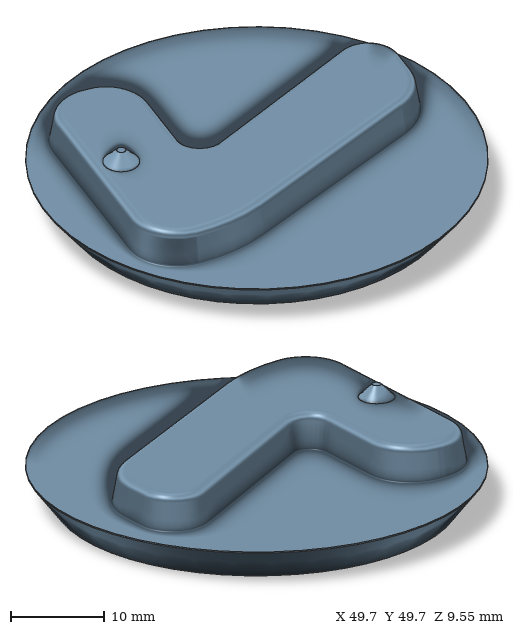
import cadquery as cq
import math

disc_radius = 24.85
disc_bottom_radius = 21.9
disc_height = 4.0
rim_height = 0.15

pad_height = 4.05
pad_draft = 10.0
pad_top_fillet = 1.0
pad_foot_fillet = 0.25
pad_left = -15.15
pad_bottom = -19.7
pad_top = 20.45
pad_right = 15.9
arm_top = -7.9

arm_radius = 5.5
heel_radius = 5.75
flank_radius = 18.9
tip_right_radius = 7.35
tip_left_radius = 4.2
notch_radius = 1.95

tip_right_x = -4.0
tip_left_x = -6.9
notch_x = -1.7

pip_y = -15.95
pip_bottom_radius = 2.0
pip_top_radius = 0.5
pip_height = 1.5

pad_top_z = disc_height + pad_height
touch_tolerance = 4.97e-05

arm_x = pad_left + arm_radius
heel_y = pad_bottom + heel_radius
outline_arcs = [
    (arm_x, pad_bottom + arm_radius, arm_radius),
    (pad_right - heel_radius, heel_y, heel_radius),
    (pad_right - flank_radius, heel_y, flank_radius),
    (tip_right_x, pad_top - tip_right_radius, tip_right_radius),
    (tip_left_x, pad_top - tip_left_radius, tip_left_radius),
    (notch_x, arm_top + notch_radius, -notch_radius),
    (arm_x, arm_top - arm_radius, arm_radius),
]


def tangent_normal(first, second):
    """Angle of the outward normal of the line that leaves one arc and joins the next."""
    dx = second[0] - first[0]
    dy = second[1] - first[1]
    lean = (first[2] - second[2]) / math.hypot(dx, dy)
    return math.atan2(dy, dx) - math.acos(max(-1.0, min(1.0, lean)))


def arc_point(arc, angle):
    x, y, radius = arc
    return cq.Vector(x + radius * math.cos(angle), y + radius * math.sin(angle))


def pad_outline():
    """Closed wire of arcs joined by their common tangent lines."""
    count = len(outline_arcs)
    normals = [tangent_normal(arc, outline_arcs[(i + 1) % count]) for i, arc in enumerate(outline_arcs)]
    edges = []
    for i, arc in enumerate(outline_arcs):
        start_angle = normals[i - 1]
        turn = math.remainder(normals[i] - start_angle, 2 * math.pi)
        start = arc_point(arc, start_angle)
        middle = arc_point(arc, start_angle + turn / 2)
        end = arc_point(arc, normals[i])
        edges.append(cq.Edge.makeThreePointArc(start, middle, end))
        following = outline_arcs[(i + 1) % count]
        next_start = arc_point(following, normals[i])
        if (next_start - end).Length > touch_tolerance:
            edges.append(cq.Edge.makeLine(end, next_start))
    return cq.Wire.assembleEdges(edges)


def make_disc():
    flare_height = disc_height - rim_height
    profile = [
        (0, 0),
        (disc_bottom_radius, 0),
        (disc_radius, flare_height),
        (disc_radius, disc_height),
        (0, disc_height),
    ]
    return cq.Workplane("XZ").polyline(profile).close().revolve(360, (0, 0), (0, 1))


def make_pad():
    outline = pad_outline().translate(cq.Vector(0, 0, disc_height))
    pad = cq.Workplane("XY", origin=(0, 0, disc_height)).add(outline).toPending()
    return pad.extrude(pad_height, taper=pad_draft).faces(">Z").edges().fillet(pad_top_fillet)


def make_pip():
    pip = cq.Solid.makeCone(pip_bottom_radius, pip_top_radius, pip_height)
    return cq.Workplane(pip.translate(cq.Vector(0, pip_y, pad_top_z)))


def foot_edges(body):
    """Edges where the pad meets the disc: those of the disc's top face inside its rim."""
    margin = disc_radius - touch_tolerance
    low = (-margin, -margin, disc_height - touch_tolerance)
    high = (margin, margin, disc_height + touch_tolerance)
    return body.edges(cq.selectors.BoxSelector(low, high, boundingbox=True))


body = make_disc().union(make_pad())
body = foot_edges(body).fillet(pad_foot_fillet)
result = body.union(make_pip())